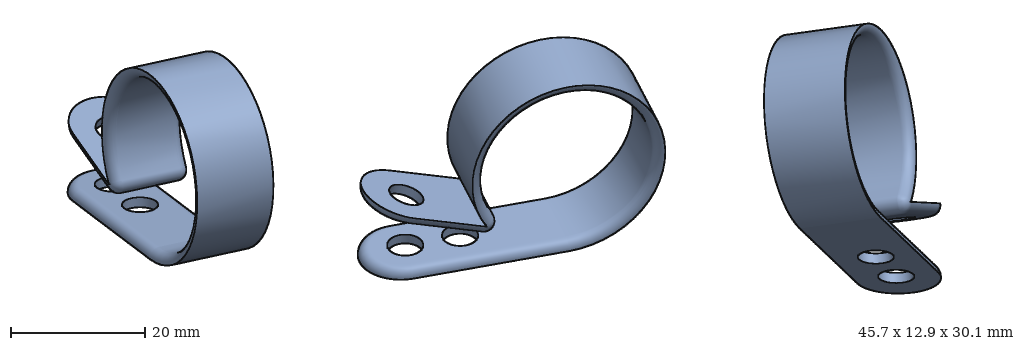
import cadquery as cq
import math

width = 12.9
thickness = 1.65
edge_radius = 1.6

loop_radius = 15.05
loop_sweep = 301.6

base_length = 24.2
arm_length = 11.9
arm_tilt = 19.0

hole_diameter = 5.4
base_hole_positions = (-23.55, -15.0)
arm_hole_distance = 11.15

half_width = width / 2
loop_end_angle = math.radians(loop_sweep - 90)
bend_sweep = loop_sweep + arm_tilt - 180

base_bottom = (0, 0, -loop_radius)
base_direction = (1, 0, 0)
pivot = (loop_radius * math.cos(loop_end_angle), 0, loop_radius * math.sin(loop_end_angle))
loop_end_direction = (-math.sin(loop_end_angle), 0, math.cos(loop_end_angle))
tilt = math.radians(arm_tilt)
arm_direction = (-math.cos(tilt), 0, math.sin(tilt))


def strap_plane(origin, direction):
    """Plane across the strap: local x is the width, local y goes from the flat to the rounded face."""
    return cq.Workplane(cq.Plane(origin=origin, xDir=(0, 1, 0), normal=direction))


def half_outline(work):
    """Open outline of half the strap section, with its outer corner rounded."""
    corner = edge_radius * (1 - math.sqrt(0.5))
    return (
        work.lineTo(half_width, 0)
        .lineTo(half_width, thickness - edge_radius)
        .threePointArc((half_width - corner, thickness - corner), (half_width - edge_radius, thickness))
        .lineTo(0, thickness)
    )


def section(origin, direction):
    """Full strap section, ready to extrude or revolve."""
    return half_outline(strap_plane(origin, direction)).mirrorY()


def tab(origin, direction, length):
    """Straight strap with a round end; a negative length runs against the direction."""
    straight = section(origin, direction).extrude(length)
    end_work = strap_plane(origin, direction).workplane(offset=length)
    round_end = half_outline(end_work).close().revolve(360, (0, 0), (0, 1))
    return straight.union(round_end)


def hole(origin, direction, distance):
    """Screw hole through the strap thickness, at a distance along the strap."""
    return (
        strap_plane(origin, direction)
        .transformed(rotate=(-90, 0, 0))
        .center(0, -distance)
        .circle(hole_diameter / 2)
        .extrude(thickness)
    )


base = tab(base_bottom, base_direction, -base_length)
for position in base_hole_positions:
    base = base.cut(hole(base_bottom, base_direction, position))

arm = tab(pivot, arm_direction, arm_length)
arm = arm.cut(hole(pivot, arm_direction, arm_hole_distance))

loop = section(base_bottom, base_direction).revolve(loop_sweep, (0.45, loop_radius), (0, loop_radius))
bend = section(pivot, loop_end_direction).revolve(bend_sweep, (0, 0), (1, 0))

result = base.union(loop).union(bend).union(arm)